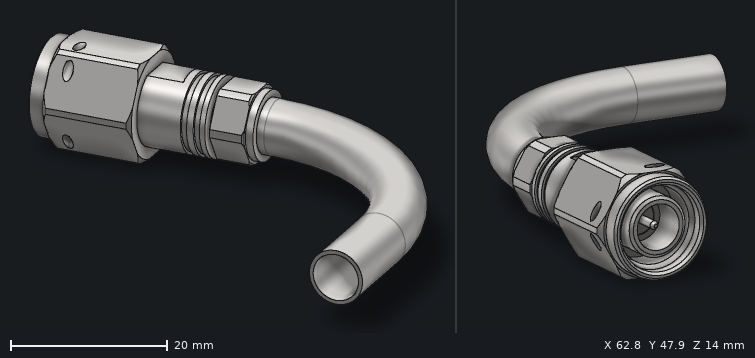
import cadquery as cq
import math


collar_radius = 6.85
collar_chamfer = 0.3
nut_start = 2.4
nut_end = 14.9
nut_across_flats = 14.0
nut_corner_radius = 7.85
nut_end_radius = 7.15
nut_front_bevel = 0.6
nut_rear_bevel = 0.45

socket_mouth_radius = 6.15
socket_entry_radius = 5.8
socket_radius = 5.2
socket_lip_depth = 0.4
socket_entry_depth = 1.7
socket_depth = 6.3

sleeve_start = 0.95
sleeve_radius = 4.1
sleeve_tip_radius = 3.65
sleeve_tip_length = 0.3
sleeve_bore_radius = 3.1
insulator_radius = 2.25
insulator_recess = 0.2
pin_start = 1.6
pin_radius = 0.55
pin_tip_radius = 0.25
pin_tip_length = 0.5

wire_hole_radius = 0.7
wire_hole_x = 5.0
wire_hole_offset = 6.9
wire_hole_count = 3

body_radius = 5.5
wrench_across_flats = 10.0
body_flat_end = 19.95
groove_radius = 5.15
groove_width = 0.9
groove_starts = (21.0, 22.85)
body_end = 24.5
neck_radius = 3.8

clamp_start = 25.1
clamp_end = 29.9
clamp_corner_radius = 5.45
clamp_bevel = 0.25
flange_radius = 4.8
flange_end = 30.95

tube_radius = 3.75
tube_bore_radius = 3.2
bend_radius = 27.0
overall_length = 62.75
overall_width = 47.9
tube_leg_x = overall_length - tube_radius
tube_end_y = nut_corner_radius - overall_width


def cylinder(radius, start, end):
    """Round bar on the X axis."""
    return cq.Workplane("YZ", origin=(start, 0, 0)).circle(radius).extrude(end - start)


def revolved(points):
    """Turn a closed (x, radius) outline about the X axis."""
    return cq.Workplane("XY").polyline(points).close().revolve(360, (0, 0, 0), (1, 0, 0))


def hexagon(across_flats, start, end):
    """Hexagonal bar with two corners on the Y axis and flats at top and bottom."""
    across_corners = across_flats / math.cos(math.radians(30))
    return cq.Workplane("YZ", origin=(start, 0, 0)).polygon(6, across_corners).extrude(end - start)


def coupling_nut():
    """Bevelled hexagon with a round collar at the mating face."""
    turned_envelope = revolved([
        (nut_start, 0),
        (nut_start, nut_end_radius),
        (nut_start + nut_front_bevel, nut_corner_radius),
        (nut_end - nut_rear_bevel, nut_corner_radius),
        (nut_end, nut_end_radius),
        (nut_end, 0),
    ])
    nut = hexagon(nut_across_flats, nut_start, nut_end).intersect(turned_envelope)
    collar = cylinder(collar_radius, 0, nut_start).faces("<X").chamfer(collar_chamfer)
    return nut.union(collar)


def socket():
    """Stepped bore with a chamfered mouth and a 45 degree shoulder."""
    return revolved([
        (0, 0),
        (0, socket_mouth_radius),
        (socket_lip_depth, socket_entry_radius),
        (socket_entry_depth, socket_entry_radius),
        (socket_entry_depth + socket_entry_radius - socket_radius, socket_radius),
        (socket_depth, socket_radius),
        (socket_depth, 0),
    ])


def wire_holes():
    """Holes that cut across every second corner of the coupling nut."""
    hole = (
        cq.Workplane("XY", origin=(wire_hole_x, wire_hole_offset, 0))
        .circle(wire_hole_radius)
        .extrude(nut_across_flats / 2, both=True)
    )
    holes = cq.Workplane("XY")
    for i in range(wire_hole_count):
        holes = holes.add(hole.rotate((0, 0, 0), (1, 0, 0), i * 360 / wire_hole_count))
    return holes.combine()


def contact():
    """Sleeve with a tapered tip around a recessed insulator and a centre pin."""
    sleeve = revolved([
        (socket_depth, insulator_radius),
        (socket_depth, sleeve_radius),
        (sleeve_start + sleeve_tip_length, sleeve_radius),
        (sleeve_start, sleeve_tip_radius),
        (sleeve_start, sleeve_bore_radius),
        (socket_depth - insulator_recess, sleeve_bore_radius),
        (socket_depth - insulator_recess, insulator_radius),
    ])
    pin = revolved([
        (pin_start, 0),
        (pin_start, pin_tip_radius),
        (pin_start + pin_tip_length, pin_radius),
        (socket_depth, pin_radius),
        (socket_depth, 0),
    ])
    return sleeve.union(pin)


def rear_body():
    """Grooved barrel with two wrench flats, ending in a narrow neck."""
    body = cylinder(body_radius, nut_end, body_end)
    for side in (1, -1):
        flat_cutter = cq.Workplane("XY").box(
            body_flat_end - nut_end, 2 * body_radius, body_radius, centered=(False, True, True)
        ).translate((nut_end, 0, side * (wrench_across_flats + body_radius) / 2))
        body = body.cut(flat_cutter)
    for start in groove_starts:
        groove_end = start + groove_width
        groove = cylinder(body_radius, start, groove_end).cut(cylinder(groove_radius, start, groove_end))
        body = body.cut(groove)
    return body.union(cylinder(neck_radius, body_end, clamp_start))


def clamp_nut():
    """Hexagon bevelled on its rear corners, with a round flange behind it."""
    turned_envelope = cylinder(clamp_corner_radius, clamp_start, clamp_end).faces(">X").chamfer(clamp_bevel)
    nut = hexagon(wrench_across_flats, clamp_start, clamp_end).intersect(turned_envelope)
    return nut.union(cylinder(flange_radius, clamp_end, flange_end))


def cable_tube():
    """Open tube with a short straight lead, a quarter bend and a straight leg."""
    bend_start_x = tube_leg_x - bend_radius
    bend_middle = bend_radius * math.sin(math.radians(45))
    path = (
        cq.Workplane("XY")
        .moveTo(flange_end, 0)
        .lineTo(bend_start_x, 0)
        .threePointArc(
            (bend_start_x + bend_middle, bend_middle - bend_radius),
            (tube_leg_x, -bend_radius),
        )
        .lineTo(tube_leg_x, tube_end_y)
    )
    profile = cq.Workplane("YZ", origin=(flange_end, 0, 0)).circle(tube_radius).circle(tube_bore_radius)
    return profile.sweep(path)


result = (
    coupling_nut()
    .cut(socket())
    .cut(wire_holes())
    .union(contact())
    .union(rear_body())
    .union(clamp_nut())
    .union(cable_tube())
)